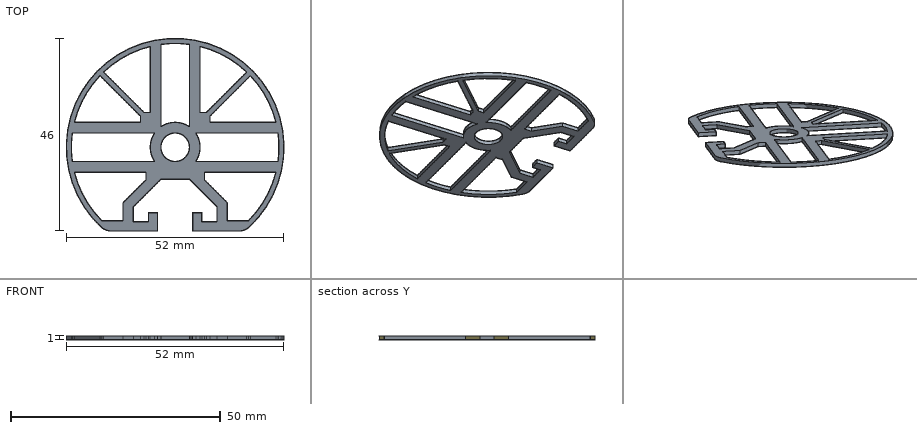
import cadquery as cq

outer_radius = 26.0
thickness = 1.0
rim_width = 1.25
base_y = -20.0
base_corner_radius = 3.5
inner_radius = outer_radius - rim_width

bore_radius = 3.4
bar_width = 2.6
hub_radius = bore_radius + bar_width
slot_width = 2 * bore_radius
bar_outer = bore_radius + bar_width

spoke_width = 1.25
spoke_root = 8.3

window_inner_x = 7.0
window_bend_y = -7.8
window_leg_x = 12.45
window_bottom_y = -17.5
window_leg_y = window_bend_y - (window_leg_x - window_inner_x)

opening_top_y = -7.65
opening_top_x = bore_radius
opening_leg_x = 10.0
opening_leg_y = opening_top_y - (opening_leg_x - opening_top_x)
opening_floor_y = -17.75
hook_inner_x = 6.4
hook_tip_x = 4.15
hook_top_y = -15.6


def disc(radius):
    return cq.Workplane("XY").circle(radius).extrude(thickness)


def box(x_min, x_max, y_min, y_max):
    return (
        cq.Workplane("XY")
        .box(x_max - x_min, y_max - y_min, thickness, centered=False)
        .translate((x_min, y_min, 0))
    )


def prism(points):
    return cq.Workplane("XY").polyline(points).close().extrude(thickness)


def both_sides(shape):
    return shape.union(shape.mirror("YZ"))


def make_blank():
    """Disc with a flat lower edge and rounded corners beside it."""
    blank = disc(outer_radius).intersect(box(-outer_radius, outer_radius, base_y, outer_radius))
    return blank.edges("|Z").edges("<Y").fillet(base_corner_radius)


def make_slots():
    """Slots to the left, right and top, running from the hub to the rim."""
    half_width = slot_width / 2
    side_slots = box(-outer_radius, outer_radius, -half_width, half_width)
    top_slot = box(-half_width, half_width, 0, outer_radius)
    return side_slots.union(top_slot).cut(disc(hub_radius))


def make_upper_windows():
    """Upper right quarter split by its diagonal spoke, then mirrored."""
    quarter = box(bar_outer, outer_radius, bar_outer, outer_radius)
    root_block = box(0, spoke_root, 0, spoke_root)
    spoke = (
        cq.Workplane("XY")
        .rect(2 * outer_radius, spoke_width)
        .extrude(thickness)
        .rotate((0, 0, 0), (0, 0, 1), 45)
    )
    return both_sides(quarter.cut(root_block).cut(spoke))


def make_lower_windows():
    return both_sides(prism([
        (window_inner_x, -bar_outer),
        (outer_radius, -bar_outer),
        (outer_radius, window_bottom_y),
        (window_leg_x, window_bottom_y),
        (window_leg_x, window_leg_y),
        (window_inner_x, window_bend_y),
    ]))


def make_clip_opening():
    right_half = [
        (opening_top_x, opening_top_y),
        (opening_leg_x, opening_leg_y),
        (opening_leg_x, opening_floor_y),
        (hook_inner_x, opening_floor_y),
        (hook_inner_x, hook_top_y),
        (hook_tip_x, hook_top_y),
        (hook_tip_x, base_y),
    ]
    left_half = [(-x, y) for x, y in reversed(right_half)]
    return prism(right_half + left_half)


windows = (
    make_slots()
    .union(make_upper_windows())
    .union(make_lower_windows())
    .intersect(disc(inner_radius))
)

result = make_blank().cut(windows).cut(make_clip_opening()).cut(disc(bore_radius))